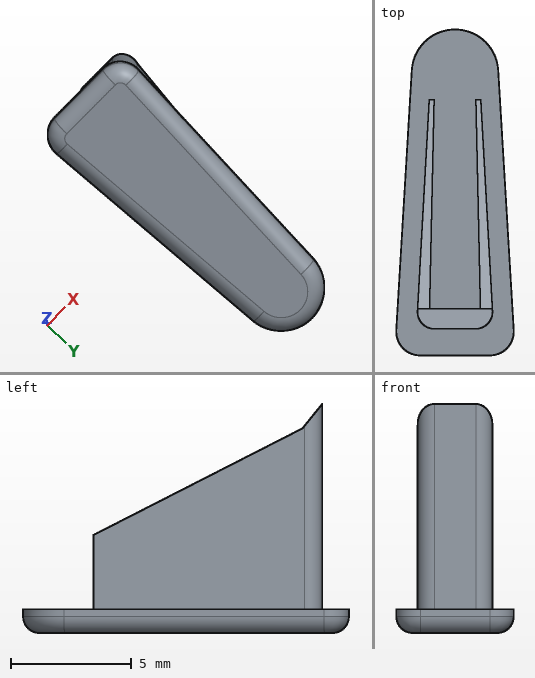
import cadquery as cq
import math

length = 13.51
width = 4.88
base_height = 1.0
base_edge_radius = 0.7
nose_radius = 1.8
corner_radius = 1.0

total_height = 9.5
front_margin = 1.11
front_wall = 0.82
wall_back_y = 3.84
outer_half_front = 1.6
outer_half_back = 1.07
inner_half_front = 1.05
inner_half_back = 0.86
wall_corner_radius = 0.7
shoulder_height = 8.48
wall_back_height = 4.07

wall_front_y = front_margin - length / 2
cavity_front_y = wall_front_y + front_wall


def polar(center, radius, angle):
    """Point on a circle at the given angle in radians."""
    return (center[0] + radius * math.cos(angle), center[1] + radius * math.sin(angle))


def mirrored(point):
    return (-point[0], point[1])


def make_base():
    nose = (0, length / 2 - nose_radius)
    corner = (width / 2 - corner_radius, corner_radius - length / 2)
    run = nose[1] - corner[1]
    spacing = math.hypot(corner[0], run)
    side_angle = math.atan2(corner[0], run) - math.asin((nose_radius - corner_radius) / spacing)
    corner_mid_angle = (side_angle - math.pi / 2) / 2

    nose_tangent = polar(nose, nose_radius, side_angle)
    corner_tangent = polar(corner, corner_radius, side_angle)
    corner_mid = polar(corner, corner_radius, corner_mid_angle)
    corner_end = (corner[0], -length / 2)
    return (
        cq.Workplane("XY")
        .moveTo(*mirrored(corner_end))
        .lineTo(*corner_end)
        .threePointArc(corner_mid, corner_tangent)
        .lineTo(*nose_tangent)
        .threePointArc((0, length / 2), mirrored(nose_tangent))
        .lineTo(*mirrored(corner_tangent))
        .threePointArc(mirrored(corner_mid), mirrored(corner_end))
        .close()
        .extrude(base_height)
        .faces("<Z")
        .edges()
        .fillet(base_edge_radius)
    )


def tapered_block(front_y, half_front, half_back, bottom):
    """Symmetric trapezoidal block from front_y to the back of the walls."""
    front_right = (half_front, front_y)
    back_right = (half_back, wall_back_y)
    return (
        cq.Workplane("XY", origin=(0, 0, bottom))
        .polyline([front_right, back_right, mirrored(back_right), mirrored(front_right)])
        .close()
        .extrude(total_height - bottom)
    )


def make_upright():
    outer = tapered_block(wall_front_y, outer_half_front, outer_half_back, 0)
    outer = outer.edges("|Z and <Y").fillet(wall_corner_radius)
    cavity = tapered_block(cavity_front_y, inner_half_front, inner_half_back, base_height)
    side_profile = (
        cq.Workplane("YZ")
        .polyline([
            (wall_front_y, 0),
            (wall_front_y, total_height),
            (cavity_front_y, shoulder_height),
            (wall_back_y, wall_back_height),
            (wall_back_y, 0),
        ])
        .close()
        .extrude(width / 2, both=True)
    )
    return outer.cut(cavity).intersect(side_profile)


result = make_base().union(make_upright())